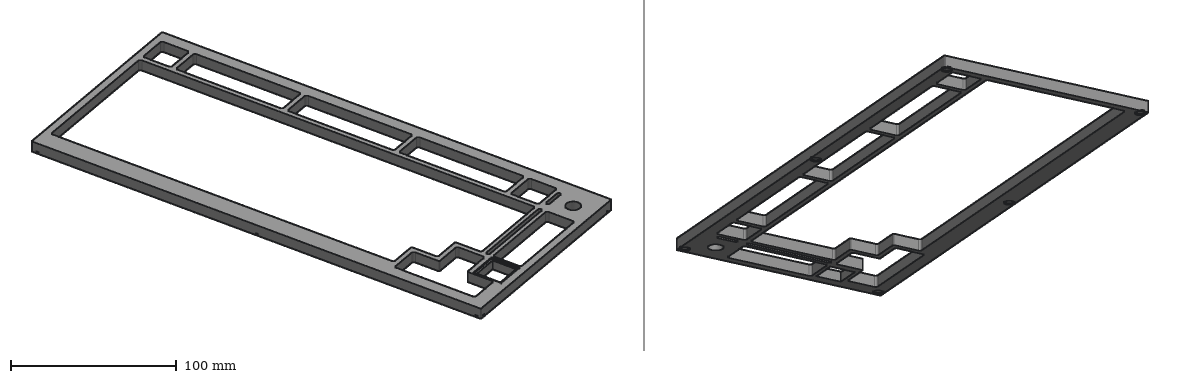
import cadquery as cq
PLATE_LENGTH = 326.0
PLATE_WIDTH = 142.0
PLATE_THICKNESS = 7.5
OUTER_CORNER_RADIUS = 0.5

UNIT = 19.05
KEY_CLEARANCE = 0.6
BLOCK_GAP = 0.25
COLUMN_GAP = 0.5
WINDOW_CORNER_RADIUS = 1.5

FUNCTION_ROW_BLOCKS = (1, 4, 4, 4, 1)
FUNCTION_ROW_HEIGHT = 1
MAIN_LENGTH = sum(FUNCTION_ROW_BLOCKS) + BLOCK_GAP * (len(FUNCTION_ROW_BLOCKS) - 1)
MAIN_HEIGHT = 5
COLUMN_LENGTH = 1
COLUMN_HEIGHT = 3
ARROW_ROWS = 2
ARROW_ROW_LENGTH = 3
LAYOUT_LENGTH = MAIN_LENGTH + COLUMN_GAP + COLUMN_LENGTH
MAIN_TOP = FUNCTION_ROW_HEIGHT + BLOCK_GAP
ARROW_SHIFT = BLOCK_GAP
LAYOUT_HEIGHT = MAIN_TOP + MAIN_HEIGHT + ARROW_SHIFT
COLUMN_LEFT = MAIN_LENGTH + COLUMN_GAP

SLOT_WIDTH = 2.5
SHORT_SLOT_LENGTH = 14.0

KNOB_HOLE_DIAMETER = 9.5

BADGE_SIDE = UNIT + 2 * KEY_CLEARANCE
BADGE_WALL = 1.2
BADGE_DEPTH = 1.0
BADGE_OPENING_SIDE = 17.0

FOOT_DIAMETER = 6.4
FOOT_DEPTH = 1.0
FOOT_INSET = 3.75


def plate_x(units):
    """X of a key grid column line counted from the left of the layout."""
    return (units - LAYOUT_LENGTH / 2) * UNIT


def plate_y(units):
    """Y of a key grid row line counted down from the top of the layout."""
    return (LAYOUT_HEIGHT / 2 - units) * UNIT


def box_cut(length, width, x, y, depth=PLATE_THICKNESS):
    """Sharp-cornered block reaching down from the top face."""
    return (
        cq.Workplane("XY", origin=(x, y, PLATE_THICKNESS - depth))
        .rect(length, width)
        .extrude(depth)
    )


def key_block(left, top, columns, rows):
    """Sharp-cornered through block that clears a rectangle of keys."""
    return box_cut(
        columns * UNIT + 2 * KEY_CLEARANCE,
        rows * UNIT + 2 * KEY_CLEARANCE,
        plate_x(left + columns / 2),
        plate_y(top + rows / 2),
    )


def rounded(block, radius=WINDOW_CORNER_RADIUS):
    return block.edges("|Z").fillet(radius)


def corner_at(columns, rows, x_side, y_side):
    """Selector box around the vertical edge one clearance off a key grid corner."""
    x = plate_x(columns) + x_side * KEY_CLEARANCE
    y = plate_y(rows) + y_side * KEY_CLEARANCE
    reach = KEY_CLEARANCE / 2
    return cq.selectors.BoxSelector(
        (x - reach, y - reach, 0), (x + reach, y + reach, PLATE_THICKNESS)
    )


def rounded_stepped(window, jutting_corners):
    """Round the window, using the small radius where the plate juts into it."""
    jutting = jutting_corners[0]
    for corner in jutting_corners[1:]:
        jutting = jutting + corner
    inner = cq.selectors.ParallelDirSelector(cq.Vector(0, 0, 1)) - jutting
    window = window.edges(inner).fillet(WINDOW_CORNER_RADIUS)
    return window.edges(jutting).fillet(OUTER_CORNER_RADIUS)


def make_plate():
    plate = cq.Workplane("XY").rect(PLATE_LENGTH, PLATE_WIDTH).extrude(PLATE_THICKNESS)
    return rounded(plate, OUTER_CORNER_RADIUS)


def cut_function_row(plate):
    left = 0
    for columns in FUNCTION_ROW_BLOCKS:
        plate = plate.cut(rounded(key_block(left, 0, columns, FUNCTION_ROW_HEIGHT)))
        left += columns + BLOCK_GAP
    return plate


def cut_main_window(plate):
    """Main block, whose last two rows step back one key each for the arrow keys."""
    full_rows = MAIN_HEIGHT - ARROW_ROWS
    window = key_block(0, MAIN_TOP, MAIN_LENGTH, full_rows)
    jutting = []
    for step in range(1, ARROW_ROWS + 1):
        length = MAIN_LENGTH - step
        height = full_rows + step
        window = window.union(key_block(0, MAIN_TOP, length, height))
        jutting.append(corner_at(length, MAIN_TOP + height - 1, 1, -1))
    return plate.cut(rounded_stepped(window, jutting))


def cut_arrow_window(plate):
    """Inverted T: one key above a row of three."""
    left = MAIN_LENGTH - ARROW_ROWS + BLOCK_GAP
    top = MAIN_TOP + MAIN_HEIGHT - ARROW_ROWS + ARROW_SHIFT
    window = key_block(left, top + 1, ARROW_ROW_LENGTH, 1)
    window = window.union(key_block(left + 1, top, 1, ARROW_ROWS))
    jutting = [corner_at(left + 1, top + 1, -1, 1), corner_at(left + 2, top + 1, 1, 1)]
    return plate.cut(rounded_stepped(window, jutting))


def cut_column_window(plate):
    return plate.cut(rounded(key_block(COLUMN_LEFT, MAIN_TOP, COLUMN_LENGTH, COLUMN_HEIGHT)))


def round_slot(length, x, y):
    """Through slot along Y with fully rounded ends."""
    return (
        cq.Workplane("XY", origin=(x, y, 0))
        .slot2D(length, SLOT_WIDTH, 90)
        .extrude(PLATE_THICKNESS)
    )


def cut_slots(plate):
    x = plate_x(MAIN_LENGTH + COLUMN_GAP / 2)
    long_slot_length = COLUMN_HEIGHT * UNIT + 2 * KEY_CLEARANCE
    plate = plate.cut(round_slot(long_slot_length, x, plate_y(MAIN_TOP + COLUMN_HEIGHT / 2)))
    return plate.cut(round_slot(SHORT_SLOT_LENGTH, x, plate_y(FUNCTION_ROW_HEIGHT / 2)))


def cut_knob_hole(plate):
    x = plate_x(COLUMN_LEFT + COLUMN_LENGTH / 2)
    y = plate_y(FUNCTION_ROW_HEIGHT / 2)
    hole = cq.Workplane("XY").center(x, y).circle(KNOB_HOLE_DIAMETER / 2).extrude(PLATE_THICKNESS)
    return plate.cut(hole)


def cut_badge(plate):
    x = plate_x(COLUMN_LEFT + COLUMN_LENGTH / 2)
    recess_top = plate_y(MAIN_TOP + COLUMN_HEIGHT) - KEY_CLEARANCE - BADGE_WALL
    y = recess_top - BADGE_SIDE / 2
    plate = plate.cut(box_cut(BADGE_SIDE, BADGE_SIDE, x, y, BADGE_DEPTH))
    return plate.cut(box_cut(BADGE_OPENING_SIDE, BADGE_OPENING_SIDE, x, y))


def cut_feet(plate):
    x = PLATE_LENGTH / 2 - FOOT_INSET
    y = PLATE_WIDTH / 2 - FOOT_INSET
    places = [(i * x, j * y) for i in (-1, 0, 1) for j in (-1, 1)]
    feet = cq.Workplane("XY").pushPoints(places).circle(FOOT_DIAMETER / 2).extrude(FOOT_DEPTH)
    return plate.cut(feet)


result = make_plate()
result = cut_function_row(result)
result = cut_main_window(result)
result = cut_arrow_window(result)
result = cut_column_window(result)
result = cut_slots(result)
result = cut_knob_hole(result)
result = cut_badge(result)
result = cut_feet(result)